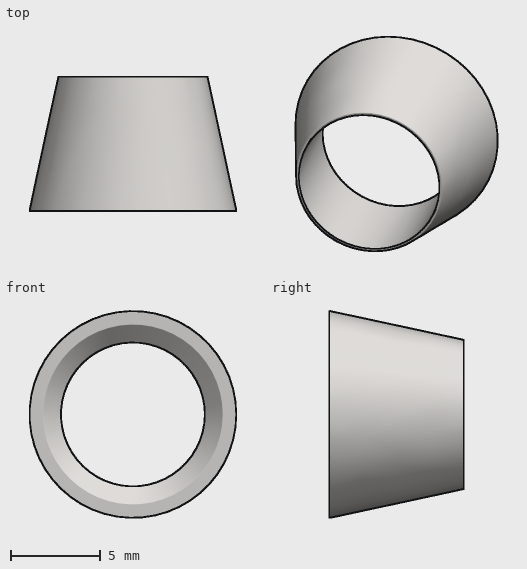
import cadquery as cq
import math

length = 7.5
large_radius = 5.76
small_radius = 4.16
bore_radius = 4.0
countersink_depth = 1.0
edge_round = 0.05

countersink_radius = bore_radius + countersink_depth
front = -length / 2
back = length / 2

taper_angle = math.atan((large_radius - small_radius) / length)
rim_angle = math.pi / 2 - taper_angle
rim_tangent_length = edge_round / math.tan(rim_angle / 2)
sharp_rim_radius = large_radius + rim_tangent_length - edge_round

section = (
    cq.Workplane("XY")
    .moveTo(countersink_radius, front)
    .lineTo(sharp_rim_radius, front)
    .lineTo(small_radius, back)
    .lineTo(bore_radius, back)
    .lineTo(bore_radius, front + countersink_depth)
    .close()
)
ring = section.revolve(360, (0, 0, 0), (0, 1, 0))

ring = ring.faces("<Y").edges().fillet(edge_round)
small_end_outer_edge = cq.selectors.RadiusNthSelector(-1)
result = ring.faces(">Y").edges(small_end_outer_edge).fillet(edge_round)